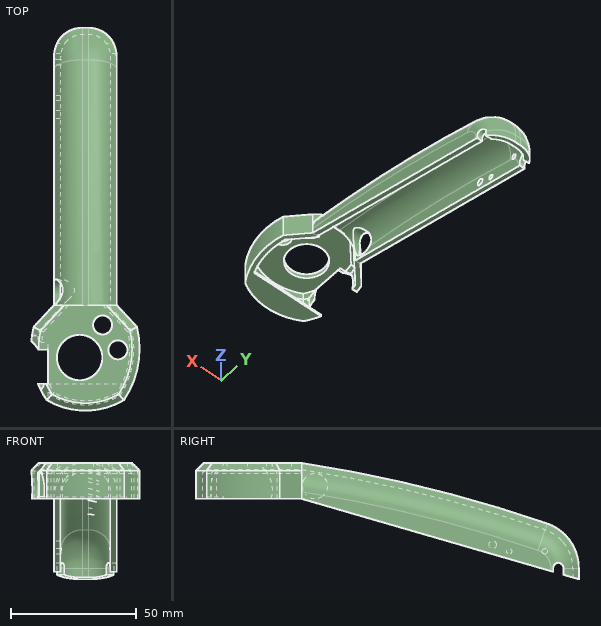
import cadquery as cq
import math


HANDLE_WIDTH = 25.0
CROWN_FLAT = 2.5
HANDLE_WALL = 2.6
HANDLE_LENGTH = 110.2
SECTION_DEPTH = 24.3
TIP_BOTTOM = -46.3

TIP_RADIUS = 18.9
TIP_AXIS_Y = HANDLE_LENGTH - TIP_RADIUS
TIP_AXIS_Z = -41.8
END_SLOPE = 19.0
BEND_OVERRUN = 1.0

HEAD_HEIGHT = 14.3
HEAD_LENGTH = 42.0
HEAD_HALF_WIDTH = 21.6
HEAD_CHAMFER = 3.0
HEAD_WALL = 2.5
SHOULDER = (20.5, -8.7)
SIDE_BULGE_Y = -17.5
TOE = (15.4, -37.7)

HEAD_HOLES = [(18.0, -2.3, -20.8), (7.5, 6.8, -7.9), (7.5, 13.0, -17.8)]

SIDE_WINDOW_DIAMETER = 24.7
SIDE_WINDOW_Y = -24.0
SIDE_WINDOW_Z = -10.7
SIDE_WINDOW_FLOOR_X = -14.9

SIDE_NOTCH_START_Y = -18.4
SIDE_NOTCH_END_Y = -31.2
TOE_FLOOR_THICKNESS = 0.9

WALL_HOLES = [(10.0, 5.2, -9.1), (3.0, 75.8, -32.4), (2.1, 82.3, -35.0), (2.1, 96.5, -35.0)]

NOTCH_DIAMETER = 4.0
NOTCH_Y = 102.0
NOTCH_Z = -41.7

slope = math.radians(END_SLOPE)
joint_y = TIP_AXIS_Y + TIP_RADIUS * math.sin(slope)
joint_z = TIP_AXIS_Z + TIP_RADIUS * math.cos(slope)
chord_slope = math.atan2(-joint_z, joint_y)
BEND_RADIUS = math.hypot(joint_y, joint_z) / (2 * math.sin(slope - chord_slope))
BEND_AXIS_Y = joint_y - BEND_RADIUS * math.sin(slope)
BEND_AXIS_Z = joint_z - BEND_RADIUS * math.cos(slope)


def section(plane, top, bottom, inset):
    """Handle section with its crown at height `top`, shrunk by `inset`."""
    half_width = HANDLE_WIDTH / 2 - inset
    half_flat = CROWN_FLAT / 2
    radius = half_width - half_flat
    crown = top - inset
    spring = crown - radius
    diagonal = radius * math.sqrt(0.5)
    return (
        cq.Workplane(plane)
        .moveTo(-half_width, bottom)
        .lineTo(-half_width, spring)
        .threePointArc((-half_flat - diagonal, spring + diagonal), (-half_flat, crown))
        .lineTo(half_flat, crown)
        .threePointArc((half_flat + diagonal, spring + diagonal), (half_width, spring))
        .lineTo(half_width, bottom)
        .close()
    )


def turned_section(axis_y, axis_z, radius, depth, inset, start, end):
    """Section turned about a cross axis; angles run from vertical towards the tip."""
    plane = cq.Plane(origin=(0, axis_y, axis_z), xDir=(1, 0, 0), normal=(0, -1, 0))
    body = section(plane, radius, radius - depth, inset).revolve(end - start, (0, 0), (-1, 0))
    return body.rotate((0, axis_y, axis_z), (1, axis_y, axis_z), -start)


def handle_form(inset):
    bend_start = math.degrees(math.asin(-BEND_AXIS_Y / BEND_RADIUS)) - BEND_OVERRUN
    bar = turned_section(
        BEND_AXIS_Y, BEND_AXIS_Z, BEND_RADIUS, SECTION_DEPTH, inset, bend_start, END_SLOPE
    )
    tip = turned_section(TIP_AXIS_Y, TIP_AXIS_Z, TIP_RADIUS, TIP_RADIUS, inset, END_SLOPE, 90)
    tip_plane = cq.Plane(origin=(0, TIP_AXIS_Y, TIP_AXIS_Z), xDir=(-1, 0, 0), normal=(0, 0, -1))
    skirt = section(tip_plane, TIP_RADIUS, 0, inset).extrude(SECTION_DEPTH)
    return bar.union(tip).union(skirt)


def handle_envelope():
    """Space ahead of the head and above the sloping underside."""
    return (
        cq.Workplane("YZ")
        .polyline([(0, 0), (HANDLE_LENGTH, 0), (HANDLE_LENGTH, TIP_BOTTOM), (0, -HEAD_HEIGHT)])
        .close()
        .extrude(HANDLE_WIDTH, both=True)
    )


def head_outline(height):
    """Head outline extruded upwards from the underside."""
    neck = HANDLE_WIDTH / 2
    return (
        cq.Workplane("XY", origin=(0, 0, -HEAD_HEIGHT))
        .moveTo(neck, 0)
        .lineTo(*SHOULDER)
        .threePointArc((HEAD_HALF_WIDTH, SIDE_BULGE_Y), TOE)
        .threePointArc((0, -HEAD_LENGTH), (-TOE[0], TOE[1]))
        .threePointArc((-HEAD_HALF_WIDTH, SIDE_BULGE_Y), (-SHOULDER[0], SHOULDER[1]))
        .lineTo(-neck, 0)
        .close()
        .extrude(height)
    )


def head_block():
    """Solid head with a chamfered top rim, left sharp where it meets the handle."""
    block = head_outline(HEAD_HEIGHT)
    return block.faces(">Z").edges("not >Y").chamfer(HEAD_CHAMFER)


def side_cylinder(diameter, y, z, start_x, end_x):
    return (
        cq.Workplane("YZ", origin=(start_x, y, z))
        .circle(diameter / 2)
        .extrude(end_x - start_x)
    )


handle = handle_form(0).cut(handle_form(HANDLE_WALL)).intersect(handle_envelope())
for diameter, y, z in WALL_HOLES:
    handle = handle.cut(side_cylinder(diameter, y, z, -HANDLE_WIDTH, 0))

notch = side_cylinder(NOTCH_DIAMETER, NOTCH_Y, NOTCH_Z, -HANDLE_WIDTH, HANDLE_WIDTH)
notch_leg = cq.Workplane("XY", origin=(0, NOTCH_Y, NOTCH_Z)).rect(2 * HANDLE_WIDTH, NOTCH_DIAMETER)
handle = handle.cut(notch).cut(notch_leg.extrude(TIP_BOTTOM - NOTCH_Z))

head = head_block().faces("<Z or >Y").shell(-HEAD_WALL)
for diameter, x, y in HEAD_HOLES:
    head = head.cut(
        cq.Workplane("XY", origin=(x, y, -HEAD_HEIGHT)).circle(diameter / 2).extrude(HEAD_HEIGHT)
    )
head = head.cut(
    side_cylinder(
        SIDE_WINDOW_DIAMETER, SIDE_WINDOW_Y, SIDE_WINDOW_Z, -2 * HEAD_HALF_WIDTH, SIDE_WINDOW_FLOOR_X
    )
)

side_notch = cq.Workplane("XY").box(
    2 * HEAD_HALF_WIDTH + SIDE_WINDOW_FLOOR_X,
    SIDE_NOTCH_START_Y - SIDE_NOTCH_END_Y,
    2 * HEAD_HEIGHT,
    centered=(False, False, True),
)
head = head.cut(side_notch.translate((-2 * HEAD_HALF_WIDTH, SIDE_NOTCH_END_Y, 0)))

toe_zone = cq.Workplane("XY", origin=(0, SIDE_NOTCH_END_Y - HEAD_LENGTH / 2, 0)).box(
    2 * HEAD_HALF_WIDTH, HEAD_LENGTH, 2 * HEAD_HEIGHT
)
head = head.union(head_outline(TOE_FLOOR_THICKNESS).intersect(toe_zone))

result = handle.union(head)